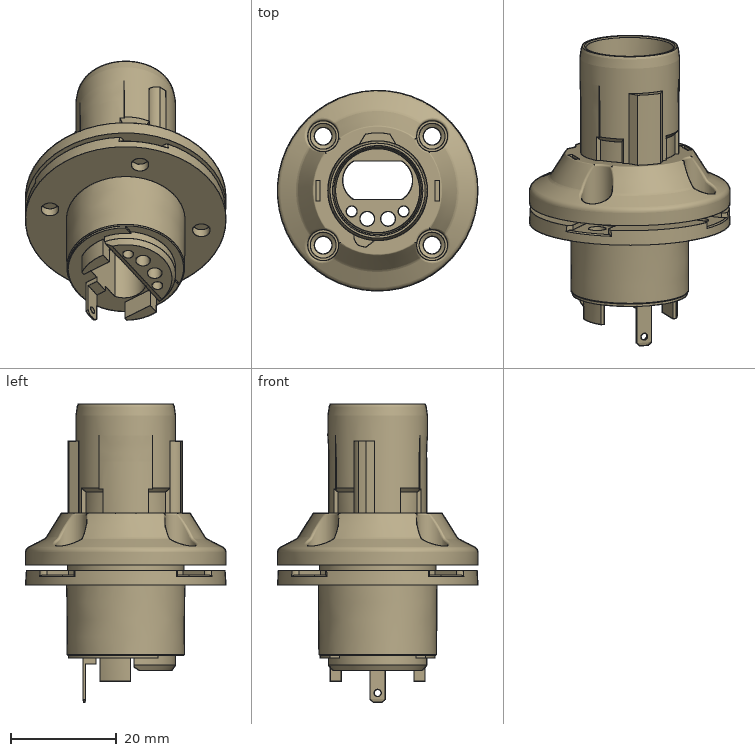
import cadquery as cq
import math

tube_top = 30.5
tube_shoulder = 28.25
tube_lip = 30.0
collar_top = 9.85
cone_foot = 5.05
flange_edge_top = 3.4
flange_rim_top = 2.4
gasket_top = -1.0
gasket_bottom = -3.8
body_bottom = -17.1
end_plate_bottom = -17.6
plug_bottom = -20.0
prong_bottom = -22.0
tab_bottom = -26.0
bore_floor = 0.0
core_top = 2.0

flange_r = 19.0
flange_edge_r = 18.4
rim_mid_angle = 30
cone_foot_r = 15.2
collar_r = 12.2
collar_edge_round = 0.3
cone_foot_round = 1.0
neck_r = 11.05
gasket_top_r = 18.85
body_top_r = 11.24
body_bottom_r = 11.16
body_edge_chamfer = 0.2
tube_r = 9.45
tube_lip_r = 9.2
tube_top_r = 9.0
bore_top_r = 8.3
bore_floor_r = 7.95
bore_mouth_chamfer = 0.25
cut_clearance = 1.0

panel_half_width = 5.05
panel_top = 24.5
panel_bend = 19.6
panel_r = 9.3

window_offset = 4.32
window_floor_r = 8.65
window_top = 14.6

key_top = 23.45
key_r = 10.95

screw_pitch = 20.62
screw_hole_r = 1.65
screw_sink_r = 2.45
screw_sink_depth = 0.6
screw_pocket_r = 2.93
screw_pocket_floor = 0.6
screw_pocket_round = 0.4

notch_half_width = 3.7
notch_mouth_half_width = 5.1
notch_depth = 0.9
notch_inner_r = 11.6
notch_flare_r = 17.4
notch_edge_chamfer = 0.35

slit_inner = 10.87
slit_outer = 11.7
slit_width = 3.9
slit_depth = 0.5

opening_center_y = 1.97
opening_half_height = 3.63
opening_half_width = 6.6
opening_flat_half = 4.55
large_contact = (1.97, -5.32, 1.37)
small_contact = (4.92, -3.92, 1.0)

end_plate_r = 10.9
end_plate_cut_y = -6.1
plug_r = 9.45
plug_flat_y = -1.55
plug_chamfer_height = 1.05
plug_chamfer_width = 0.7
prong_r = 9.0
prong_inner_x = 6.88
prong_y_min = -0.94
prong_y_max = 4.9
tab_half_width = 1.47
tab_tip_half_width = 0.83
tab_shoulder = -25.4
tab_y_min = 7.58
tab_y_max = 8.12
tab_tip_bevel = 0.15
tab_hole_z = -24.2
tab_hole_r = 0.65
tab_foot_y = 5.3
tab_foot_bottom = -18.75

match_tolerance = 0.01
quarter_turns = [45 + 90 * i for i in range(4)]
sides = (-1, 1)


def cylinder(radius, bottom, top):
    return cq.Workplane("XY").workplane(offset=bottom).circle(radius).extrude(top - bottom)


def box(x_min, x_max, y_min, y_max, z_min, z_max):
    return cq.Workplane("XY").box(
        x_max - x_min, y_max - y_min, z_max - z_min, centered=False
    ).translate((x_min, y_min, z_min))


def revolve(profile):
    return profile.close().revolve(360, (0, 0, 0), (0, 1, 0))


def chord_y(radius, x):
    """Y height of a circle of the given radius at the given x."""
    return math.sqrt(radius**2 - x**2)


def flange():
    """Flange disc with its rounded rim and the conical collar on top."""
    rim_mid = math.radians(rim_mid_angle)
    rim_round = flange_edge_top - flange_rim_top
    rim_mid_r = flange_r - rim_round * (1 - math.cos(rim_mid))
    rim_mid_z = flange_rim_top + rim_round * math.sin(rim_mid)
    disc = revolve(
        cq.Workplane("XZ")
        .moveTo(0, 0)
        .lineTo(flange_r, 0)
        .lineTo(flange_r, flange_rim_top)
        .threePointArc((rim_mid_r, rim_mid_z), (flange_edge_r, flange_edge_top))
        .lineTo(cone_foot_r, cone_foot)
        .lineTo(collar_r, collar_top)
        .lineTo(0, collar_top)
    )
    rounded = disc.faces(">Z").edges().fillet(collar_edge_round)
    foot_edges = rounded.edges("%CIRCLE").filter(
        lambda edge: abs(edge.radius() - cone_foot_r) < match_tolerance
    )
    return foot_edges.fillet(cone_foot_round)


def tube():
    """Outer tube with a bevelled mouth, side panels and latch windows."""
    outer = revolve(
        cq.Workplane("XZ")
        .moveTo(0, core_top)
        .lineTo(tube_r, core_top)
        .lineTo(tube_r, tube_shoulder)
        .lineTo(tube_lip_r, tube_lip)
        .lineTo(tube_top_r, tube_top)
        .lineTo(0, tube_top)
    )
    return outer.cut(side_panels()).cut(latch_windows())


def side_panels():
    """Material taken off both X sides of the tube, tapering out at the top."""
    clear_r = tube_r + cut_clearance
    ring = revolve(
        cq.Workplane("XZ")
        .moveTo(panel_r, collar_top)
        .lineTo(clear_r, collar_top)
        .lineTo(clear_r, panel_top)
        .lineTo(tube_r, panel_top)
        .lineTo(panel_r, panel_bend)
    )
    band = box(-clear_r, clear_r, -panel_half_width, panel_half_width, collar_top, panel_top)
    return ring.intersect(band)


def latch_windows():
    """Four pockets between the axes, with a sloping roof."""
    clear_r = tube_r + cut_clearance
    rise = cut_clearance
    ring = revolve(
        cq.Workplane("XZ")
        .moveTo(window_floor_r, collar_top)
        .lineTo(clear_r, collar_top)
        .lineTo(clear_r, window_top + rise)
        .lineTo(window_floor_r, window_top - (tube_r - window_floor_r))
    )
    corners = cq.Workplane("XY")
    for angle in range(0, 360, 90):
        corner = box(window_offset, clear_r, window_offset, clear_r, collar_top, window_top + rise)
        corners = corners.add(corner.rotate((0, 0, 0), (0, 0, 1), angle))
    return ring.intersect(corners.combine())


def keys():
    """Symmetric key on the +Y side and hooked key on the -Y side."""
    inner_y = 8.35
    root_half = 3.4
    root_y = 8.9
    crest_half = 2.3
    crest_y = chord_y(key_r, crest_half)
    height = key_top - collar_top
    base = cq.Workplane("XY").workplane(offset=collar_top)
    upper = (
        base.moveTo(-root_half, inner_y)
        .lineTo(-root_half, root_y)
        .lineTo(-crest_half, crest_y)
        .threePointArc((0, key_r), (crest_half, crest_y))
        .lineTo(root_half, root_y)
        .lineTo(root_half, inner_y)
        .close()
        .extrude(height)
    )
    hook_left = -4.5
    hook_bend = (-4.25, -9.6)
    hook_end = -3.66
    crest_end = -2.25
    crest_mid = (hook_end + crest_end) / 2
    slope_end = -0.6
    lower = (
        base.moveTo(hook_left, -inner_y)
        .threePointArc(hook_bend, (hook_end, -chord_y(key_r, hook_end)))
        .threePointArc((crest_mid, -chord_y(key_r, crest_mid)), (crest_end, -chord_y(key_r, crest_end)))
        .lineTo(slope_end, -chord_y(tube_r, slope_end))
        .lineTo(slope_end, -inner_y)
        .close()
        .extrude(height)
    )
    return upper.union(lower)


def notch_plan(depth):
    """Radial notch of the given depth along +X, flared with round corners at the rim."""
    mouth_r = chord_y(flange_r, notch_mouth_half_width)
    flare_bulge = 0.3
    flare_mid_r = mouth_r - flare_bulge * (mouth_r - notch_flare_r)
    flare_mid_y = notch_half_width + flare_bulge * (notch_mouth_half_width - notch_half_width)
    return (
        cq.Workplane("XY")
        .workplane(offset=gasket_top - depth)
        .moveTo(notch_inner_r, -notch_half_width)
        .lineTo(notch_flare_r, -notch_half_width)
        .threePointArc((flare_mid_r, -flare_mid_y), (mouth_r, -notch_mouth_half_width))
        .lineTo(flange_r, -notch_mouth_half_width)
        .lineTo(flange_r, notch_mouth_half_width)
        .lineTo(mouth_r, notch_mouth_half_width)
        .threePointArc((flare_mid_r, flare_mid_y), (notch_flare_r, notch_half_width))
        .lineTo(notch_inner_r, notch_half_width)
        .close()
        .extrude(depth)
    )


def gasket():
    """Lower disc with a slight draft and a notch with a bevelled floor edge at each screw."""
    disc = revolve(
        cq.Workplane("XZ")
        .moveTo(0, gasket_bottom)
        .lineTo(flange_r, gasket_bottom)
        .lineTo(gasket_top_r, gasket_top)
        .lineTo(0, gasket_top)
    )
    notch = notch_plan(notch_depth)
    floor = gasket_top - notch_depth
    chamfer_start = flange_r - notch_edge_chamfer
    chamfer_ring = revolve(
        cq.Workplane("XZ")
        .moveTo(chamfer_start, floor)
        .lineTo(flange_r, floor)
        .lineTo(flange_r, floor - notch_edge_chamfer)
    )
    notch = notch.union(chamfer_ring.intersect(notch_plan(notch_depth + notch_edge_chamfer)))
    for angle in quarter_turns:
        disc = disc.cut(notch.rotate((0, 0, 0), (0, 0, 1), angle))
    return disc


def rear_body():
    """Tapered body with a narrow bottom chamfer and the neck that reaches into the flange."""
    body = revolve(
        cq.Workplane("XZ")
        .moveTo(0, body_bottom)
        .lineTo(body_bottom_r, body_bottom)
        .lineTo(body_top_r, gasket_bottom)
        .lineTo(0, gasket_bottom)
    )
    neck = cylinder(neck_r, gasket_bottom, core_top)
    return body.faces("<Z").edges().chamfer(body_edge_chamfer).union(neck)


def end_plate():
    """Thin plate under the body, cut off straight on the -Y side."""
    plate = cylinder(end_plate_r, end_plate_bottom, body_bottom)
    kept = box(-end_plate_r, end_plate_r, end_plate_cut_y, end_plate_r, end_plate_bottom, body_bottom)
    return plate.intersect(kept)


def plug():
    """Half-round block that carries the contacts."""
    block = cylinder(plug_r, plug_bottom, body_bottom)
    half = block.intersect(box(-plug_r, plug_r, -plug_r, plug_flat_y, plug_bottom, body_bottom))
    return half.faces("<Z").chamfer(plug_chamfer_height, plug_chamfer_width)


def prongs():
    """Two prongs with round outer faces beside the rectangular opening."""
    disc = cylinder(prong_r, prong_bottom, body_bottom)
    band = box(-prong_r, prong_r, prong_y_min, prong_y_max, prong_bottom, body_bottom)
    gap = box(-prong_inner_x, prong_inner_x, prong_y_min, prong_y_max, prong_bottom, body_bottom)
    return disc.intersect(band).cut(gap)


def solder_tab():
    """Flat solder tab with a hole and a tapered tip, standing on a small foot."""
    tab = (
        cq.Workplane("XZ", origin=(0, tab_y_max, 0))
        .moveTo(-tab_half_width, body_bottom)
        .lineTo(-tab_half_width, tab_shoulder)
        .lineTo(-tab_tip_half_width, tab_bottom)
        .lineTo(tab_tip_half_width, tab_bottom)
        .lineTo(tab_half_width, tab_shoulder)
        .lineTo(tab_half_width, body_bottom)
        .close()
        .moveTo(0, tab_hole_z)
        .circle(tab_hole_r)
        .extrude(tab_y_max - tab_y_min)
    )
    bevelled_strip = (
        cq.Workplane("YZ", origin=(-tab_half_width, 0, 0))
        .moveTo(tab_y_min, body_bottom)
        .lineTo(tab_y_min, tab_shoulder)
        .lineTo(tab_y_min + tab_tip_bevel, tab_bottom)
        .lineTo(tab_y_max - tab_tip_bevel, tab_bottom)
        .lineTo(tab_y_max, tab_shoulder)
        .lineTo(tab_y_max, body_bottom)
        .close()
        .extrude(2 * tab_half_width)
    )
    tab = tab.intersect(bevelled_strip)
    foot = box(-tab_half_width, tab_half_width, tab_foot_y, tab_y_min, tab_foot_bottom, body_bottom)
    return tab.union(foot)


def bore():
    """Tapered socket of the tube with a chamfered mouth."""
    mouth_start = tube_top - bore_mouth_chamfer
    return revolve(
        cq.Workplane("XZ")
        .moveTo(0, bore_floor)
        .lineTo(bore_floor_r, bore_floor)
        .lineTo(bore_top_r, mouth_start)
        .lineTo(bore_top_r + bore_mouth_chamfer, tube_top)
        .lineTo(0, tube_top)
    )


def insert_openings():
    """Wide round-ended opening and the contact holes, through the floor of the bore."""
    base = cq.Workplane("XY").workplane(offset=tab_bottom)
    height = bore_floor - tab_bottom
    top_y = opening_center_y + opening_half_height
    bottom_y = opening_center_y - opening_half_height
    openings = (
        base.moveTo(-opening_flat_half, bottom_y)
        .lineTo(opening_flat_half, bottom_y)
        .threePointArc((opening_half_width, opening_center_y), (opening_flat_half, top_y))
        .lineTo(-opening_flat_half, top_y)
        .threePointArc((-opening_half_width, opening_center_y), (-opening_flat_half, bottom_y))
        .close()
        .extrude(height)
    )
    for x, y, radius in (large_contact, small_contact):
        holes = base.pushPoints([(side * x, y) for side in sides]).circle(radius).extrude(height)
        openings = openings.union(holes)
    return openings


def screw_cut():
    """One screw hole on the Z axis: through hole, countersink and round pocket."""
    sink_bottom = screw_pocket_floor - screw_sink_depth
    return revolve(
        cq.Workplane("XZ")
        .moveTo(0, gasket_bottom)
        .lineTo(screw_hole_r, gasket_bottom)
        .lineTo(screw_hole_r, sink_bottom)
        .lineTo(screw_sink_r, screw_pocket_floor)
        .lineTo(screw_pocket_r, screw_pocket_floor)
        .lineTo(screw_pocket_r, collar_top)
        .lineTo(0, collar_top)
    )


def cut_screws(solid):
    half = screw_pitch / 2
    for x in (-half, half):
        for y in (-half, half):
            solid = solid.cut(screw_cut().translate((x, y, 0)))
    return solid


def round_pocket_rims(solid):
    """Round the rims where the screw pockets leave the collar and the flange."""
    rims = []
    for edge in solid.edges().vals():
        bounds = edge.BoundingBox()
        on_rim = bounds.zmin > screw_pocket_floor + match_tolerance
        middle = edge.positionAt(0.5)
        distance = math.hypot(abs(middle.x) - screw_pitch / 2, abs(middle.y) - screw_pitch / 2)
        if on_rim and abs(distance - screw_pocket_r) < match_tolerance:
            rims.append(edge)
    return solid.newObject(rims).fillet(screw_pocket_round)


def collar_slits():
    """Shallow slits in the collar top on both X sides of the tube."""
    slit = box(slit_inner, slit_outer, -slit_width / 2, slit_width / 2, collar_top - slit_depth, collar_top)
    return slit.union(slit.mirror("YZ"))


flange_part = round_pocket_rims(cut_screws(flange())).cut(collar_slits())
result = (
    rear_body()
    .union(cut_screws(gasket()))
    .union(flange_part)
    .union(end_plate())
    .union(plug())
    .union(prongs())
    .union(solder_tab())
    .union(tube())
    .union(keys())
    .cut(bore())
    .cut(insert_openings())
)